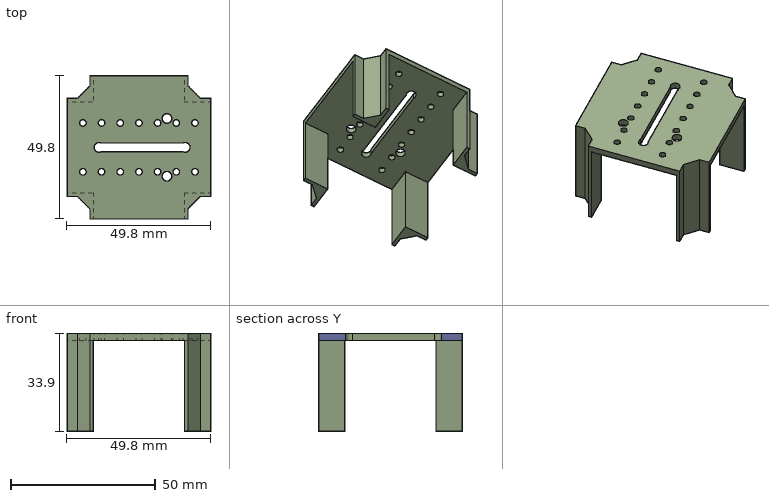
import cadquery as cq

side = 49.8
height = 33.9
plate_thickness = 2.5

notch_depth = 7.85
notch_chamfer = 4.3
flange_thickness = 1.25
opening_width = side - 2 * (notch_depth + flange_thickness)

small_hole_diameter = 2.2
small_hole_pitch = 6.45
small_holes_per_row = 7
small_row_spacing = 16.95

large_hole_diameter = 3.3
large_hole_x = 9.7
large_hole_spacing = 20.0

slot_width = 2.9
slot_end_diameter = 3.3
slot_end_spacing = 29.9
slot_center_x = 1.1


def corner_notch(sign_x, sign_y):
    """Full-height cutter for one corner, with its inner corner chamfered."""
    edge = side / 2
    inner = edge - notch_depth
    chamfered = inner + notch_chamfer
    outline = [(edge, edge), (inner, edge), (inner, chamfered), (chamfered, inner), (edge, inner)]
    points = [(sign_x * x, sign_y * y) for x, y in outline]
    return cq.Workplane("XY").polyline(points).close().extrude(height)


def through_holes(points, diameter):
    """Vertical cylinders long enough to pierce the top plate."""
    return cq.Workplane("XY").pushPoints(points).circle(diameter / 2).extrude(height)


body = cq.Workplane("XY").box(side, side, height, centered=(True, True, False))

for sign_x in (-1, 1):
    for sign_y in (-1, 1):
        body = body.cut(corner_notch(sign_x, sign_y))

opening_height = height - plate_thickness
for size_x, size_y in ((side, opening_width), (opening_width, side)):
    opening = cq.Workplane("XY").box(size_x, size_y, opening_height, centered=(True, True, False))
    body = body.cut(opening)

small_points = [
    ((i - (small_holes_per_row - 1) / 2) * small_hole_pitch, sign * small_row_spacing / 2)
    for i in range(small_holes_per_row)
    for sign in (-1, 1)
]
body = body.cut(through_holes(small_points, small_hole_diameter))

large_points = [(large_hole_x, sign * large_hole_spacing / 2) for sign in (-1, 1)]
body = body.cut(through_holes(large_points, large_hole_diameter))

slot = cq.Workplane("XY").center(slot_center_x, 0)
slot = slot.box(slot_end_spacing, slot_width, height, centered=(True, True, False))
slot_end_points = [(slot_center_x + sign * slot_end_spacing / 2, 0) for sign in (-1, 1)]
body = body.cut(slot).cut(through_holes(slot_end_points, slot_end_diameter))

result = body